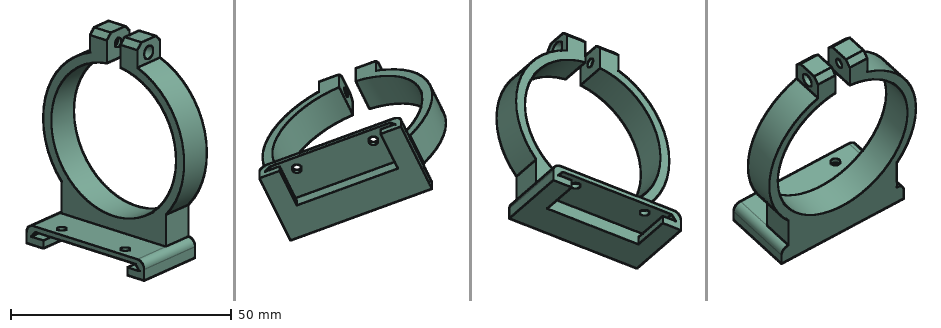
import cadquery as cq

total_height = 52.15
base_width = 34.95
base_depth = 18.0
base_height = 4.75
base_round = 2.0

ring_width = 8.05
ring_outer_radius = 20.95
ring_inner_radius = 18.5
ring_center_z = 26.65
ring_front_y = base_depth - ring_width
ring_middle_y = base_depth - ring_width / 2
neck_width = base_width - 2 * base_round

ear_outer_x = 7.05
ear_inner_x = 2.05
ear_chamfer = 1.45
ear_thickness = ear_outer_x - ear_inner_x

screw_diameter = 2.2
screw_head_diameter = 4.1
ear_web = 1.0
recess_depth = ear_thickness - ear_web
nut_diameter = 3.2
screw_z = total_height - 3.25

slot_length = ring_front_y
slot_top_z = 3.4
lip_height = 2.0
slot_top_half_width = 14.85
slot_half_width = 16.05
opening_half_width = 12.45

mount_hole_diameter = 2.2
mount_hole_x = 9.45
mount_hole_y = 2.9


def box(width, depth, height, y, z):
    """Box centered on X, starting at the given Y and Z."""
    return cq.Workplane("XY").box(width, depth, height, centered=(True, False, False)).translate((0, y, z))


def cylinder_along_x(diameter, start_x, length):
    """Cylinder on the clamp screw axis."""
    return (
        cq.Workplane("YZ", origin=(start_x, ring_middle_y, screw_z))
        .circle(diameter / 2)
        .extrude(length)
    )


def ring_disc(radius):
    """Disc across the full ring width, on the ring axis."""
    return cq.Workplane("XZ", origin=(0, base_depth, ring_center_z)).circle(radius).extrude(ring_width)


def make_base():
    base = box(base_width, base_depth, base_height, 0, 0)
    base = base.faces(">Z").edges("|Y").fillet(base_round)
    slot = (
        cq.Workplane("XZ")
        .polyline([
            (-opening_half_width, 0),
            (-opening_half_width, lip_height),
            (-slot_half_width, lip_height),
            (-slot_top_half_width, slot_top_z),
            (slot_top_half_width, slot_top_z),
            (slot_half_width, lip_height),
            (opening_half_width, lip_height),
            (opening_half_width, 0),
        ])
        .close()
        .extrude(-slot_length)
    )
    holes = (
        cq.Workplane("XY")
        .pushPoints([(-mount_hole_x, mount_hole_y), (mount_hole_x, mount_hole_y)])
        .circle(mount_hole_diameter / 2)
        .extrude(base_height)
    )
    return base.cut(slot).cut(holes)


def make_clamp():
    neck_top_z = ring_center_z - (ring_outer_radius**2 - (neck_width / 2) ** 2) ** 0.5
    neck = box(neck_width, ring_width, neck_top_z - base_height, ring_front_y, base_height)
    ears = box(2 * ear_outer_x, ring_width, total_height - ring_center_z, ring_front_y, ring_center_z)
    ears = ears.faces(">Z").edges("|X").chamfer(ear_chamfer)
    gap = box(2 * ear_inner_x, ring_width, total_height - ring_center_z, ring_front_y, ring_center_z)
    clamp = ring_disc(ring_outer_radius).union(neck).union(ears)
    return clamp.cut(ring_disc(ring_inner_radius)).cut(gap)


def make_screw_bore():
    bore = cylinder_along_x(screw_diameter, -ear_outer_x, 2 * ear_outer_x)
    head = cylinder_along_x(screw_head_diameter, -ear_outer_x, recess_depth)
    nut = cylinder_along_x(nut_diameter, ear_outer_x - recess_depth, recess_depth)
    return bore.union(head).union(nut)


result = make_base().union(make_clamp()).cut(make_screw_bore())